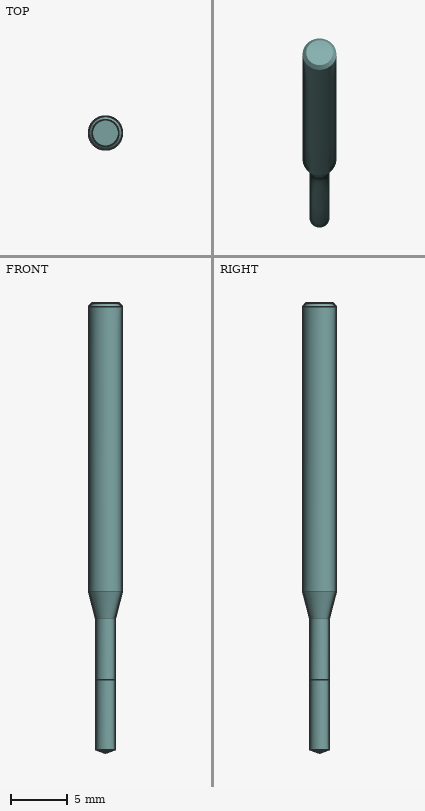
import cadquery as cq
import math

TOTAL_LENGTH = 40.0
SHANK_DIAMETER = 3.0
NECK_DIAMETER = 1.75
CUTTER_DIAMETER = 1.75
TIP_ANGLE = 140.0
CUTTER_TOP = 6.5
NECK_TOP = 12.0
SHANK_BOTTOM = 14.4
CHAMFER_RADIAL = 0.3
CHAMFER_HEIGHT = 0.3

shank_radius = SHANK_DIAMETER / 2
neck_radius = NECK_DIAMETER / 2
cutter_radius = CUTTER_DIAMETER / 2
tip_height = cutter_radius / math.tan(math.radians(TIP_ANGLE / 2))


def revolve_profile(points):
    """Revolve a closed (radius, height) outline about the Z axis."""
    return cq.Workplane("XZ").polyline(points).close().revolve(360, (0, 0, 0), (0, 1, 0))


def make_shank():
    """Neck, conical transition and cylindrical shank with a chamfered end."""
    return revolve_profile([
        (0, CUTTER_TOP),
        (neck_radius, CUTTER_TOP),
        (neck_radius, NECK_TOP),
        (shank_radius, SHANK_BOTTOM),
        (shank_radius, TOTAL_LENGTH - CHAMFER_HEIGHT),
        (shank_radius - CHAMFER_RADIAL, TOTAL_LENGTH),
        (0, TOTAL_LENGTH),
    ])


def make_cutter():
    """Cylindrical cutting body ending in a conical point."""
    return revolve_profile([
        (0, 0),
        (cutter_radius, tip_height),
        (cutter_radius, CUTTER_TOP),
        (0, CUTTER_TOP),
    ])


shank = make_shank()
cutter = make_cutter()

result = cq.Compound.makeCompound([shank.val(), cutter.val()])